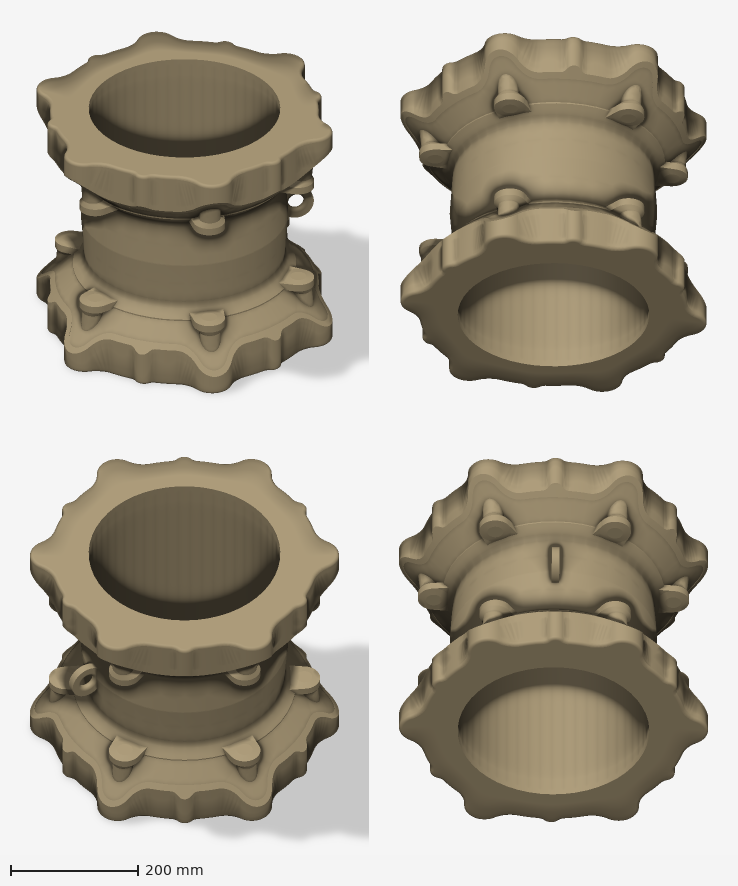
import cadquery as cq
import math

height = 381.0
bore_diameter = 301.0
lobe_tip_radius = 242.71
bump_tip_radius = 219.37
half_height = height / 2
bore_radius = bore_diameter / 2

sector_count = 6
sector_angle = 360.0 / sector_count
first_lobe_angle = 30.0
base_radius = 211.0
lobe_radius = 32.0
lobe_fillet = 46.0
bump_radius = 16.0
bump_fillet = 16.0
flange_edge_fillet = 5.0

barrel_mid_radius = 163.0
barrel_band_height = 1.6
barrel_end_radius = 158.2
neck_fillet = 13.0

cone_offset = 84.0
cone_angle = math.radians(45)
cone_outer_radius = lobe_tip_radius + 10
recess_depth = 2.2
recess_inner_radius = 175.5
recess_rim_width = 7.5

bolt_circle_radius = 188.0
head_diameter = 50.0
head_bottom = 83.0
head_top = 94.8
head_inner_reach = 160.0
head_flare = math.radians(6)
shaft_diameter = 33.4
shaft_bottom = 103.0
shaft_top = 140.0
shaft_bottom_offset = 193.0
shaft_top_offset = 197.0
bolt_end_diameter = 25.0
crown_height = 2.0

lug_angle = 60.0
lug_center_radius = 178.5
lug_radius = 27.8
lug_hole_diameter = 25.0
lug_hole_fillet = 5.0
lug_thickness = 12.0

sector_angles = [index * sector_angle for index in range(sector_count)]
lobe_angles = [first_lobe_angle + angle for angle in sector_angles]


def polar(radius, degrees):
    """Point at the given radius and angle."""
    angle = math.radians(degrees)
    return (radius * math.cos(angle), radius * math.sin(angle))


def add_bulges(plate, angles, plate_radius, tip_radius, bulge_radius, fillet):
    """Add rounded bulges to the rim of a round plate and fillet both corners of each."""
    center_radius = tip_radius - bulge_radius
    corner_term = plate_radius**2 + center_radius**2 - bulge_radius**2
    corner_cosine = corner_term / (2 * plate_radius * center_radius)
    corner_spread = math.degrees(math.acos(corner_cosine))
    for angle in angles:
        bulge = (
            cq.Workplane("XY").circle(bulge_radius).extrude(half_height)
            .rotate((0, 0, 0), (0, 0, 1), angle + 180)
            .translate(polar(center_radius, angle) + (0,))
        )
        plate = plate.union(bulge)
    corners = [
        polar(plate_radius, angle + side * corner_spread) + (half_height / 2,)
        for angle in angles
        for side in (-1, 1)
    ]
    uprights = plate.edges("|Z")
    corner_edges = [uprights.edges(cq.NearestToPointSelector(corner)).val() for corner in corners]
    return plate.newObject(corner_edges).fillet(fillet)


def lobed_plate(inset):
    """Plate from z = 0 to half_height with the large lobes, its rim moved inward by inset."""
    radius = base_radius - inset
    plate = cq.Workplane("XY").circle(radius).extrude(half_height)
    return add_bulges(
        plate, lobe_angles, radius, lobe_tip_radius - inset, lobe_radius - inset, lobe_fillet + inset
    )


def flange_blank():
    """Plate with the complete flange outline and a rounded outer edge."""
    plate = lobed_plate(0)
    plate = add_bulges(plate, sector_angles, base_radius, bump_tip_radius, bump_radius, bump_fillet)
    return plate.faces(">Z").edges().fillet(flange_edge_fillet)


def turned_half():
    """Upper half of the barrel, the neck and the conical flange face, not yet cut to the outline."""
    neck_center_radius = barrel_end_radius + neck_fillet
    neck_end_radius = neck_center_radius - neck_fillet * math.cos(cone_angle)
    neck_end_z = neck_end_radius - cone_offset
    neck_start_z = neck_end_z - neck_fillet * math.sin(cone_angle)
    neck_mid_radius = neck_center_radius - neck_fillet * math.cos(cone_angle / 2)
    neck_mid_z = neck_start_z + neck_fillet * math.sin(cone_angle / 2)
    return (
        cq.Workplane("XZ")
        .moveTo(bore_radius, 0)
        .lineTo(barrel_mid_radius, 0)
        .lineTo(barrel_mid_radius, barrel_band_height / 2)
        .lineTo(barrel_end_radius, neck_start_z)
        .threePointArc((neck_mid_radius, neck_mid_z), (neck_end_radius, neck_end_z))
        .lineTo(cone_outer_radius, cone_outer_radius - cone_offset)
        .lineTo(cone_outer_radius, half_height)
        .lineTo(bore_radius, half_height)
        .close()
        .revolve(360, (0, 0, 0), (0, 1, 0))
    )


def cone_recess():
    """Shallow recess in the conical face, leaving a rim that follows the lobes."""
    floor_offset = cone_offset - recess_depth
    ring = (
        cq.Workplane("XZ")
        .moveTo(recess_inner_radius, 0)
        .lineTo(recess_inner_radius, recess_inner_radius - floor_offset)
        .lineTo(lobe_tip_radius, lobe_tip_radius - floor_offset)
        .lineTo(lobe_tip_radius, 0)
        .close()
        .revolve(360, (0, 0, 0), (0, 1, 0))
    )
    return ring.intersect(lobed_plate(recess_rim_width))


def level_circle(x, z, radius):
    """Horizontal circle centered above the X axis, with its seam toward the Z axis."""
    plane = cq.Plane(origin=(x, 0, z), xDir=(-1, 0, 0), normal=(0, 0, 1))
    return cq.Workplane(plane).circle(radius).wires().val()


def round_loft(lower, upper):
    """Straight loft between two horizontal circles, each given as (x, z, radius)."""
    return cq.Workplane(cq.Solid.makeLoft([level_circle(*lower), level_circle(*upper)], True))


def bolt_boss():
    """Bolt boss on the +X axis: crowned head joined to the wall, taper and leaning shaft."""
    head_radius = head_diameter / 2
    shaft_radius = shaft_diameter / 2
    head_height = head_top - head_bottom
    tangent_x = bolt_circle_radius + head_radius * math.sin(head_flare)
    tangent_y = head_radius * math.cos(head_flare)
    inner_y = tangent_y + (tangent_x - head_inner_reach) * math.tan(head_flare)
    head = (
        cq.Workplane("XY", origin=(0, 0, head_bottom))
        .moveTo(tangent_x, -tangent_y)
        .threePointArc((bolt_circle_radius + head_radius, 0), (tangent_x, tangent_y))
        .lineTo(head_inner_reach, inner_y)
        .lineTo(head_inner_reach, -inner_y)
        .close()
        .extrude(head_height)
    )
    taper = round_loft(
        (bolt_circle_radius, head_top, head_radius), (shaft_bottom_offset, shaft_bottom, shaft_radius)
    )
    lean = cq.Vector(shaft_top_offset - shaft_bottom_offset, 0, shaft_top - shaft_bottom)
    shaft_base = level_circle(shaft_bottom_offset, shaft_bottom, shaft_radius)
    shaft = cq.Workplane(cq.Solid.extrudeLinear(shaft_base, [], lean))
    crown = round_loft(
        (bolt_circle_radius, head_bottom - crown_height, bolt_end_diameter / 2),
        (bolt_circle_radius, head_bottom, head_radius),
    )
    return head.union(crown).union(taper).union(shaft)


def upper_half():
    """Upper half of the part: turned body cut to the flange outline, recessed, with bolt bosses."""
    half = turned_half().intersect(flange_blank()).cut(cone_recess())
    boss = bolt_boss()
    for angle in lobe_angles:
        half = half.union(boss.rotate((0, 0, 0), (0, 0, 1), angle))
    return half


def lifting_lug():
    """Round lug with a rounded hole across it, trimmed to clear the bore."""
    lug = (
        cq.Workplane("XZ", origin=(lug_center_radius, lug_thickness / 2, 0))
        .circle(lug_radius)
        .circle(lug_hole_diameter / 2)
        .extrude(lug_thickness)
        .edges(cq.selectors.RadiusNthSelector(0))
        .fillet(lug_hole_fillet)
    )
    core_radius = (bore_radius + barrel_end_radius) / 2
    core = cq.Workplane("XY", origin=(0, 0, -half_height)).circle(core_radius).extrude(height)
    return lug.cut(core).rotate((0, 0, 0), (0, 0, 1), lug_angle)


upper = upper_half()
result = upper.union(upper.mirror("XY")).union(lifting_lug())